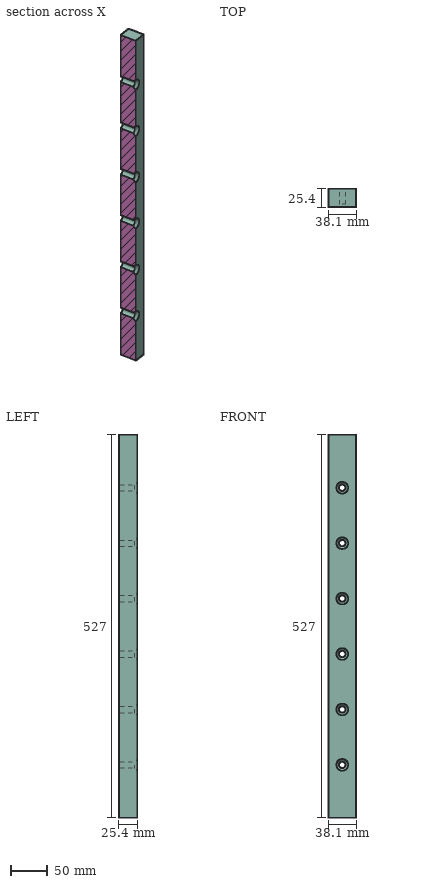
import cadquery as cq

bar_width = 38.1
bar_depth = 25.4
bar_length = 527.05

hole_count = 6
hole_pitch = 76.2
hole_diameter = 8.5
countersink_diameter = 16.2
countersink_angle = 82.0


def make_bar():
    """Plain rectangular bar standing along Z."""
    return cq.Workplane("XY").box(bar_width, bar_depth, bar_length)


def drill_screw_holes(bar):
    """Countersunk through holes, sunk from the -Y face and centred on the bar."""
    return (
        bar.faces("<Y")
        .workplane(centerOption="CenterOfBoundBox")
        .rarray(1, hole_pitch, 1, hole_count)
        .cskHole(hole_diameter, countersink_diameter, countersink_angle)
    )


result = drill_screw_holes(make_bar())